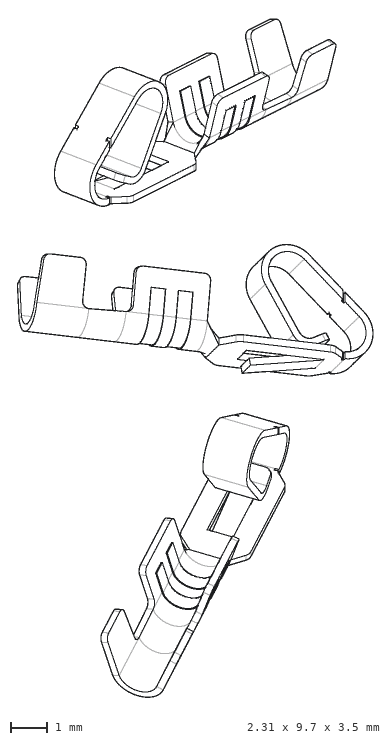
import cadquery as cq
import math

length = 9.7
sheet = 0.2

cradle_radius = 0.78
inner_radius = cradle_radius - sheet
tab_round = 0.19

insulation_start = 8.4
insulation_lean = 17.5
insulation_wall = 1.36
entry_setback = 0.09

wire_start = 4.8
wire_end = 6.95
wire_lean = 14.7
wire_wall = 1.29

groove_starts = (5.28, 6.06)
groove_width = 0.42
groove_depth = 0.034
groove_wall = 0.74

base_half_width = 1.02
neck_half_width = 0.55
base_end = 4.4
base_shoulder_back = 3.97
base_shoulder_front = 1.26
base_corner_round = 0.24

strip_half_width = 0.64
front_bend_radius = 0.81
top_bend_center = (2.4, 2.29)
top_bend_radius = 0.81
contact_bend_center = (1.86, 0.77)
contact_bend_radius = 0.5
tail_rise = 28.0
tail_length = 0.485
tail_corner_round = 0.19

notch_center = 0.83
notch_width = 0.06
notch_depth = 0.12

tongue_root = 1.32
tongue_reach = 2.105
tongue_drop = 0.4
tongue_half_width = 0.35
window_half_width = 0.38
window_end = 3.55


def polar(center, radius, angle):
    """Point on a circle; the angle is in degrees from the first axis."""
    a = math.radians(angle)
    return (center[0] + radius * math.cos(a), center[1] + radius * math.sin(a))


def cross_section(y):
    """Sketch plane across the part at the given Y, with X right and Z up."""
    return cq.Plane(origin=(0, y, 0), xDir=(1, 0, 0), normal=(0, -1, 0))


def arc_section(work, lean, outer, inner):
    """Ring sector open to the top, ending where walls with this lean begin."""
    center = (0, cradle_radius)
    left = 180 + lean
    right = 360 - lean
    return (
        work.moveTo(*polar(center, outer, left))
        .threePointArc(polar(center, outer, 270), polar(center, outer, right))
        .lineTo(*polar(center, inner, right))
        .threePointArc(polar(center, inner, 270), polar(center, inner, left))
        .close()
    )


def make_cradle(y_start, y_end, lean, outer=cradle_radius, inner=inner_radius):
    work = cq.Workplane(cross_section(y_end))
    return arc_section(work, lean, outer, inner).extrude(y_end - y_start)


def make_waist(y_start, y_end):
    """Round trough whose edge blends from the wire to the insulation lean."""
    work = cq.Workplane(cross_section(y_end))
    work = arc_section(work, insulation_lean, cradle_radius, inner_radius)
    work = work.workplane(offset=y_end - y_start)
    return arc_section(work, wire_lean, cradle_radius, inner_radius).loft(ruled=True)


def wall_plane(lean, radius):
    """Plane of the +X wall face at this radius: first axis Y, second up the wall."""
    x, z = polar((0, cradle_radius), radius, -lean)
    a = math.radians(lean)
    return cq.Plane(origin=(x, 0, z), xDir=(0, 1, 0), normal=(math.cos(a), 0, -math.sin(a)))


def both_sides(right_wall):
    return right_wall.union(right_wall.mirror("YZ"))


def flare(work, y_edge, y_foot):
    """Round fillet between a wall edge and the waist rim."""
    run = y_foot - y_edge
    middle = polar((y_foot, tab_round), tab_round, 270 - math.copysign(45, run))
    return (
        work.moveTo(y_edge, 0)
        .lineTo(y_foot, 0)
        .threePointArc(middle, (y_edge, tab_round))
        .close()
        .extrude(-sheet)
    )


def make_walls(y_start, y_end, lean, height, tip_setback=0.0):
    """Pair of leaning walls with rounded top corners."""
    plane = wall_plane(lean, cradle_radius)
    wall = (
        cq.Workplane(plane)
        .polyline([(y_start, 0), (y_end, 0), (y_end - tip_setback, height), (y_start, height)])
        .close()
        .extrude(-sheet)
    )
    tip = plane.toWorldCoords((0, height / 2, 0)).z
    corners = cq.selectors.BoxSelector((-length, -length, tip), (length, 2 * length, length))
    wall = wall.edges(cq.selectors.ParallelDirSelector(plane.zDir)).edges(corners).fillet(tab_round)
    return both_sides(wall)


def make_flares(y_edge, y_foot, lean):
    return both_sides(flare(cq.Workplane(wall_plane(lean, cradle_radius)), y_edge, y_foot))


def make_insulation_barrel():
    foot = insulation_start - tab_round
    walls = make_walls(insulation_start, length, insulation_lean, insulation_wall, entry_setback)
    return (
        make_cradle(foot, length, insulation_lean)
        .union(walls)
        .union(make_flares(insulation_start, foot, insulation_lean))
    )


def groove_layer(y_start, radius):
    """Thin lining of the barrel, groove_depth thick, lying just inside this radius."""
    y_end = y_start + groove_width
    wall = (
        cq.Workplane(wall_plane(wire_lean, radius))
        .polyline([(y_start, 0), (y_end, 0), (y_end, groove_wall), (y_start, groove_wall)])
        .close()
        .extrude(-groove_depth)
    )
    layer = make_cradle(y_start, y_end, wire_lean, radius, radius - groove_depth)
    return layer.union(both_sides(wall))


def make_wire_barrel():
    foot = wire_end + tab_round
    barrel = (
        make_cradle(wire_start, foot, wire_lean)
        .union(make_walls(wire_start, wire_end, wire_lean, wire_wall))
        .union(make_flares(wire_end, foot, wire_lean))
    )
    for y_start in groove_starts:
        barrel = barrel.cut(groove_layer(y_start, cradle_radius))
        barrel = barrel.union(groove_layer(y_start, inner_radius))
    return barrel


def make_neck():
    """Transition from the round wire barrel to the flat base."""
    work = cq.Workplane(cross_section(wire_start))
    work = arc_section(work, wire_lean, cradle_radius, inner_radius)
    work = work.workplane(offset=wire_start - base_end)
    return (
        work.moveTo(-neck_half_width, 0)
        .lineTo(neck_half_width, 0)
        .lineTo(neck_half_width, sheet)
        .lineTo(-neck_half_width, sheet)
        .close()
        .loft(ruled=True)
    )


def make_base():
    front_slope_end = base_shoulder_front - (base_half_width - strip_half_width)
    half_outline = [
        (neck_half_width, base_end),
        (base_half_width, base_shoulder_back),
        (base_half_width, base_shoulder_front),
        (strip_half_width, front_slope_end),
        (strip_half_width, front_bend_radius),
    ]
    other_half = [(-x, y) for x, y in reversed(half_outline)]
    plate = cq.Workplane("XY").polyline(half_outline + other_half).close().extrude(sheet)
    plate = plate.edges("|Z and (<X or >X)").fillet(base_corner_round)
    window = (
        cq.Workplane("XY")
        .center(0, (tongue_root + window_end) / 2)
        .rect(2 * window_half_width, window_end - tongue_root)
        .extrude(sheet)
    )
    return plate.cut(window)


def make_tongue():
    """Sloping tongue with a square tip, hinged at the front edge of the window."""
    slope = math.atan2(tongue_drop, tongue_reach)
    tip_bottom = (tongue_root + tongue_reach, -tongue_drop)
    tip_top = (tip_bottom[0] + sheet * math.sin(slope), tip_bottom[1] + sheet * math.cos(slope))
    return (
        cq.Workplane("YZ")
        .polyline([tip_bottom, tip_top, (tongue_root, sheet), (tongue_root, 0)])
        .close()
        .extrude(tongue_half_width, both=True)
    )


def tangent_angle(center_a, radius_a, center_b, radius_b):
    """Direction of the outer side of the straight strip leading from bend a to bend b."""
    dy = center_b[0] - center_a[0]
    dz = center_b[1] - center_a[1]
    turn = math.acos((radius_a - radius_b) / math.hypot(dy, dz))
    return math.degrees(math.atan2(dz, dy) + turn)


def make_loop():
    front_bend = ((front_bend_radius, front_bend_radius), front_bend_radius)
    top_bend = (top_bend_center, top_bend_radius)
    contact_bend = (contact_bend_center, contact_bend_radius)
    bends = [front_bend, top_bend, contact_bend]
    angles = [
        270,
        tangent_angle(*front_bend, *top_bend),
        tangent_angle(*top_bend, *contact_bend),
        -90 - tail_rise,
    ]
    spans = list(zip(bends, angles, angles[1:]))

    profile = cq.Workplane("YZ").moveTo(front_bend_radius, 0)
    for index, ((center, radius), start, end) in enumerate(spans):
        if index > 0:
            profile = profile.lineTo(*polar(center, radius, start))
        middle = polar(center, radius, (start + end) / 2)
        profile = profile.threePointArc(middle, polar(center, radius, end))

    tail_angle = 180 - tail_rise
    profile = profile.polarLine(tail_length, tail_angle)
    profile = profile.polarLine(sheet, 90 - tail_rise)
    for (center, radius), start, end in reversed(spans):
        inner = radius - sheet
        middle = polar(center, inner, (start + end) / 2)
        profile = profile.lineTo(*polar(center, inner, end))
        profile = profile.threePointArc(middle, polar(center, inner, start))
    loop = profile.close().extrude(strip_half_width, both=True)

    a = math.radians(90 - tail_rise)
    tail_thickness = cq.Vector(0, math.cos(a), math.sin(a))
    tail_corners = loop.edges(cq.selectors.ParallelDirSelector(tail_thickness))
    return tail_corners.fillet(tail_corner_round)


def make_notches():
    """Cutters through the base and the loop above it."""
    return (
        cq.Workplane("XY", origin=(0, notch_center, 0))
        .pushPoints([(-strip_half_width, 0), (strip_half_width, 0)])
        .rect(2 * notch_depth, notch_width)
        .extrude(top_bend_center[1])
    )


result = (
    make_insulation_barrel()
    .union(make_waist(wire_end + tab_round, insulation_start - tab_round))
    .union(make_wire_barrel())
    .union(make_neck())
    .union(make_base())
    .union(make_tongue())
    .union(make_loop())
    .cut(make_notches())
)